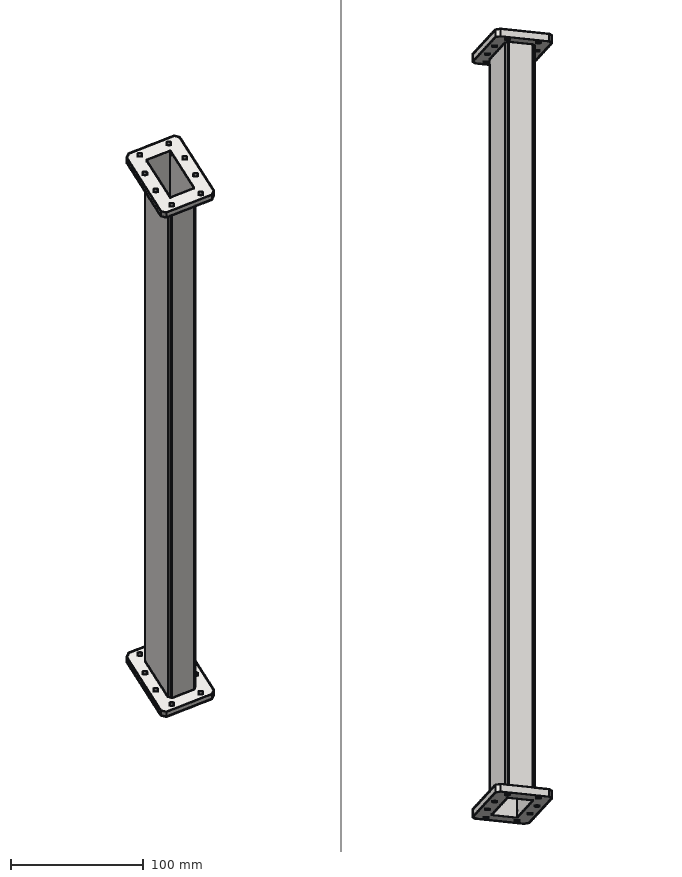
import cadquery as cq


LENGTH = 609.5

FLANGE_WIDTH = 63.5
FLANGE_DEPTH = 44.5
FLANGE_THICKNESS = 6.0
FLANGE_CORNER_CUT = 3.0

BORE_WIDTH = 40.0
BORE_DEPTH = 20.0
WALL_THICKNESS = 1.65
TUBE_CORNER_CUT = 2.5

HOLE_DIAMETER = 3.5
LONG_EDGE_PITCH = 18.0
LONG_EDGE_ROW_SPACING = 33.5
SHORT_EDGE_PITCH = 24.5
SHORT_EDGE_ROW_SPACING = 53.5


def upright_block(width, depth, height, corner_cut):
    """Centred block whose four vertical corners are chamfered."""
    return cq.Workplane("XY").box(width, depth, height).edges("|Z").chamfer(corner_cut)


def make_tube():
    """Solid outer body of the tube over the full length."""
    return upright_block(
        BORE_WIDTH + 2 * WALL_THICKNESS,
        BORE_DEPTH + 2 * WALL_THICKNESS,
        LENGTH,
        TUBE_CORNER_CUT,
    )


def make_flange():
    """Flange plate centred on the origin, with its eight bolt holes."""
    plate = upright_block(FLANGE_WIDTH, FLANGE_DEPTH, FLANGE_THICKNESS, FLANGE_CORNER_CUT)
    holes = (
        cq.Workplane("XY", origin=(0, 0, -FLANGE_THICKNESS / 2))
        .rarray(LONG_EDGE_PITCH, LONG_EDGE_ROW_SPACING, 2, 2)
        .circle(HOLE_DIAMETER / 2)
        .rarray(SHORT_EDGE_ROW_SPACING, SHORT_EDGE_PITCH, 2, 2)
        .circle(HOLE_DIAMETER / 2)
        .extrude(FLANGE_THICKNESS)
    )
    return plate.cut(holes)


flange = make_flange()
flange_offset = (LENGTH - FLANGE_THICKNESS) / 2

body = make_tube()
for end in (-1, 1):
    body = body.union(flange.translate((0, 0, end * flange_offset)))

bore = cq.Workplane("XY").box(BORE_WIDTH, BORE_DEPTH, LENGTH)
result = body.cut(bore)